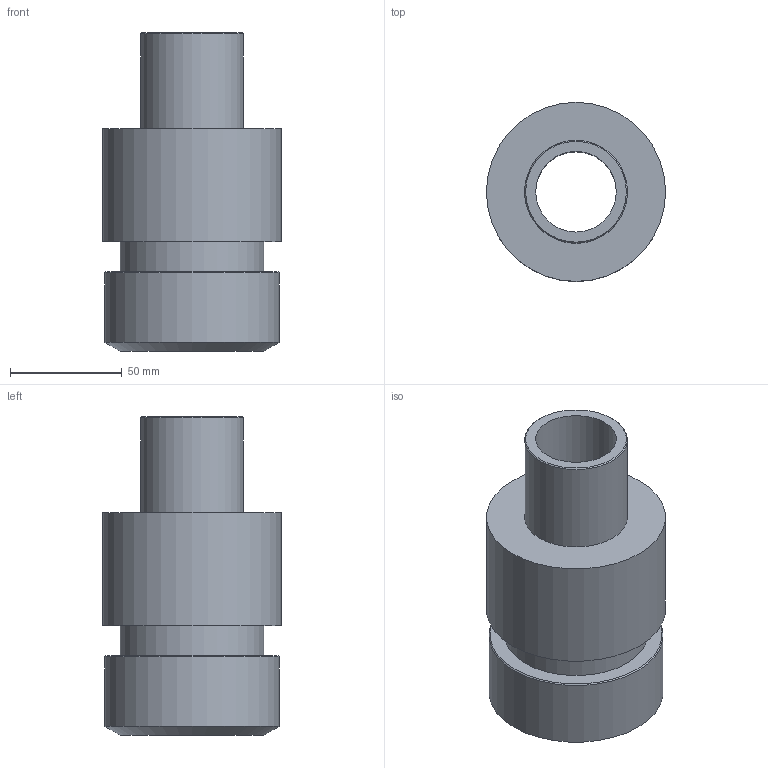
import cadquery as cq

total_height = 142.3
bore_diameter = 36.0

collar_diameter = 78.0
collar_height = 35.5
collar_bottom_chamfer_radial = 7.0
collar_bottom_chamfer_height = 4.0
collar_top_chamfer = 0.5

neck_diameter = 64.0
neck_height = 13.5

body_diameter = 80.0
body_height = 50.5

tube_diameter = 46.0
tube_top_chamfer = 0.5

collar_top = collar_height
body_bottom = collar_top + neck_height
body_top = body_bottom + body_height
tube_height = total_height - body_top


def cylinder(diameter, bottom, height):
    """Solid cylinder on the Z axis."""
    return cq.Workplane("XY").workplane(offset=bottom).circle(diameter / 2).extrude(height)


def make_collar():
    """Collar with a wide conical lead-in below and a small edge break above."""
    collar = cylinder(collar_diameter, 0, collar_height)
    collar = collar.faces(">Z").chamfer(collar_top_chamfer)
    return collar.faces("<Z").chamfer(collar_bottom_chamfer_height, collar_bottom_chamfer_radial)


def make_tube():
    """Upper tube with its outer top edge broken."""
    return cylinder(tube_diameter, body_top, tube_height).faces(">Z").chamfer(tube_top_chamfer)


neck = cylinder(neck_diameter, collar_top, neck_height)
body = cylinder(body_diameter, body_bottom, body_height)
bore = cylinder(bore_diameter, 0, total_height)

result = make_collar().union(neck).union(body).union(make_tube()).cut(bore)